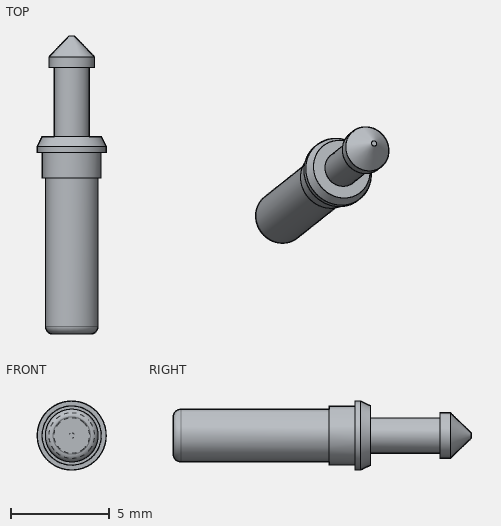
import cadquery as cq

total_length = 15.1

tip_diameter = 0.27
head_diameter = 2.31
neck_diameter = 1.8
collar_face_diameter = 3.02
collar_diameter = 3.5
shoulder_diameter = 2.99
barrel_diameter = 2.67

cone_length = 1.05
head_length = 0.55
neck_length = 3.5
collar_taper_length = 0.5
collar_rim_length = 0.3
shoulder_length = 1.3
barrel_length = total_length - (
    cone_length
    + head_length
    + neck_length
    + collar_taper_length
    + collar_rim_length
    + shoulder_length
)

barrel_end_radius = 0.4

sections = [
    (barrel_length, barrel_diameter, barrel_diameter),
    (shoulder_length, shoulder_diameter, shoulder_diameter),
    (collar_rim_length, collar_diameter, collar_diameter),
    (collar_taper_length, collar_diameter, collar_face_diameter),
    (neck_length, neck_diameter, neck_diameter),
    (head_length, head_diameter, head_diameter),
    (cone_length, head_diameter, tip_diameter),
]


def half_profile(pin_sections, start_y):
    """Closed outline of one half of the pin, as (radius, y) points."""
    points = [(0, start_y)]
    y = start_y
    for length, start_diameter, end_diameter in pin_sections:
        for point in [(start_diameter / 2, y), (end_diameter / 2, y + length)]:
            if point != points[-1]:
                points.append(point)
        y += length
    points.append((0, y))
    return points


pin = (
    cq.Workplane("XY")
    .polyline(half_profile(sections, -total_length / 2))
    .close()
    .revolve(360, (0, 0, 0), (0, 1, 0))
)

result = pin.faces("<Y").edges().fillet(barrel_end_radius)